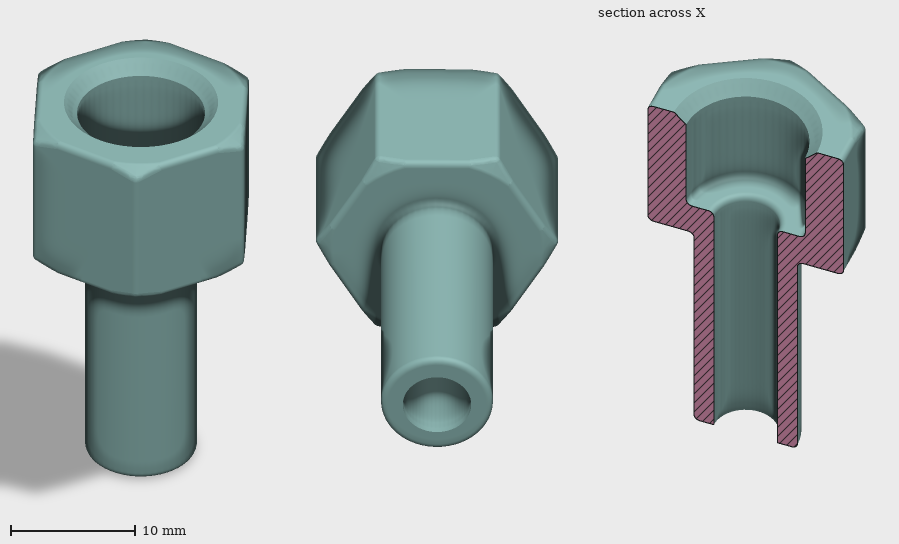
import cadquery as cq
import math

TOTAL_LENGTH = 34.0
ACROSS_FLATS = 17.0
HEAD_HEIGHT = 13.0
SHANK_DIAMETER = 9.0
HOLE_DIAMETER = 5.5
BORE_DIAMETER = 10.3
BORE_DEPTH = 10.0
BORE_CHAMFER = 1.05
EDGE_RADIUS = 0.5

TRIM_RADIUS = 8.55
TRIM_ANGLE = math.radians(30)

SHANK_LENGTH = TOTAL_LENGTH - HEAD_HEIGHT
ACROSS_CORNERS = ACROSS_FLATS / math.cos(math.radians(30))
CORNER_RADIUS = ACROSS_CORNERS / 2
TRIM_DROP = (CORNER_RADIUS - TRIM_RADIUS) * math.tan(TRIM_ANGLE)


def make_trim_envelope():
    """Drum with conical ends; it cuts the hexagon only near its corners."""
    return (
        cq.Workplane("XZ")
        .moveTo(0, SHANK_LENGTH)
        .lineTo(TRIM_RADIUS, SHANK_LENGTH)
        .lineTo(CORNER_RADIUS, SHANK_LENGTH + TRIM_DROP)
        .lineTo(CORNER_RADIUS, TOTAL_LENGTH - TRIM_DROP)
        .lineTo(TRIM_RADIUS, TOTAL_LENGTH)
        .lineTo(0, TOTAL_LENGTH)
        .close()
        .revolve(360, (0, 0, 0), (0, 1, 0))
    )


def make_head():
    """Hexagon with corners on the X axis, trimmed corners and every edge rounded."""
    hexagon = (
        cq.Workplane("XY", origin=(0, 0, SHANK_LENGTH))
        .polygon(6, ACROSS_CORNERS)
        .extrude(HEAD_HEIGHT)
    )
    return hexagon.intersect(make_trim_envelope()).edges().fillet(EDGE_RADIUS)


def central_edges(radius, height):
    """Select edges centred close to the Z axis and close to the given height."""
    return cq.selectors.BoxSelector(
        (-radius, -radius, height - EDGE_RADIUS),
        (radius, radius, height + EDGE_RADIUS),
    )


def add_shank(head):
    """Round shank with a rounded tip, blended into the underside of the head."""
    shank_radius = SHANK_DIAMETER / 2
    shank = cq.Workplane("XY").circle(shank_radius).extrude(SHANK_LENGTH)
    shank = shank.faces("<Z").edges().fillet(EDGE_RADIUS)
    joint = central_edges(shank_radius, SHANK_LENGTH)
    return head.union(shank).edges(joint).fillet(EDGE_RADIUS)


def make_cavity():
    """Through hole and blind bore with a chamfered mouth and rounded floor edges."""
    hole_radius = HOLE_DIAMETER / 2
    bore_radius = BORE_DIAMETER / 2
    floor = TOTAL_LENGTH - BORE_DEPTH
    hole = cq.Workplane("XY").circle(hole_radius).extrude(floor)
    bore = cq.Workplane("XY", origin=(0, 0, floor)).circle(bore_radius).extrude(BORE_DEPTH)
    floor_edges = central_edges(hole_radius, floor)
    cavity = hole.union(bore).edges("%CIRCLE").edges(floor_edges).fillet(EDGE_RADIUS)
    mouth = cq.Solid.makeCone(
        bore_radius,
        bore_radius + BORE_CHAMFER,
        BORE_CHAMFER,
        pnt=cq.Vector(0, 0, TOTAL_LENGTH - BORE_CHAMFER),
    )
    return cavity.union(cq.Workplane(mouth))


result = add_shank(make_head()).cut(make_cavity())